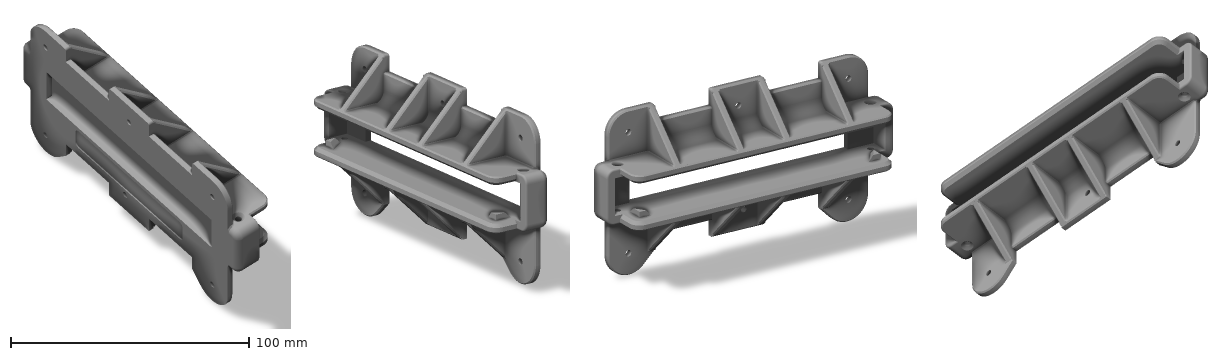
import cadquery as cq
import math

overall_width = 143.0
plate_width = 130.0
plate_thickness = 3.0
tab_top = 33.5
tab_corner_radius = 1.0
notch_level = 25.7
centre_tab_width = 26.3
outer_tab_inner_x = 41.6
corner_radius = 10.0
leg_radius = 10.6
leg_bottom = 41.5
edge_break = 0.6
rib_flare = 0.5

slot_width = 109.0
slot_height = 17.2

recess_width = 70.4
recess_top = -10.6
recess_bottom = -21.0
recess_depth = 0.6
recess_radius = 2.0

hole_diameter = 2.9
hole_pitch_x = 109.8
hole_pitch_z = 54.9
lower_centre_hole_x = -2.6
lower_centre_hole_z = -24.2

part_depth = 24.5
shelf_outer_z = 12.6
shelf_corner_radius = 5.0
shelf_lip_chamfer = 1.5

lug_depth = 12.3
lug_side_radius = 3.6
lug_front_radius = 3.0
lug_back_radius = 0.9
lug_hole_x = 63.0
lug_hole_y = 7.5
countersink_diameter = 5.5

rib_thickness = 3.3
bay_fillet_radius = 5.1

nub_outer_x = 59.9
nub_front_y = 11.9
nub_back_y = 19.6
nub_height = 2.7
nub_ramp_run = 1.7

half_plate = plate_width / 2
half_slot = slot_width / 2
shelf_inner_z = slot_height / 2
shelf_thickness = shelf_outer_z - shelf_inner_z
half_centre_tab = centre_tab_width / 2
corner_x = half_plate - corner_radius
upper_hole_z = tab_top - corner_radius
leg_centre_x = half_plate - leg_radius
leg_centre_z = leg_radius - leg_bottom
hole_x = hole_pitch_x / 2
lower_hole_z = upper_hole_z - hole_pitch_z


def mirrored_x(solid):
    """The solid together with its mirror image across X = 0."""
    return solid.union(solid.mirror("YZ"))


def mirrored_z(solid):
    """The solid together with its mirror image across Z = 0."""
    return solid.union(solid.mirror("XY"))


def box(x_min, x_max, y_min, y_max, z_min, z_max):
    return (
        cq.Workplane("XY", origin=(x_min, y_min, z_min))
        .box(x_max - x_min, y_max - y_min, z_max - z_min, centered=False)
    )


def front_sketch():
    """Workplane in global X and Z whose extrusions run toward +Y."""
    return cq.Workplane("XZ")


def lug_corner_edge(side, level):
    """Selector for the curved edge where a lug's front rounding meets the plate side."""
    tolerance = 0.01
    return cq.selectors.BoxSelector(
        (side * half_plate - tolerance, 0, level * shelf_inner_z),
        (side * half_plate + tolerance, plate_thickness - tolerance, level * (shelf_outer_z + tolerance)),
    )


def make_plate():
    diagonal = corner_radius * math.sqrt(0.5)
    leg_diagonal = leg_radius * math.sqrt(0.5)
    leg_bevel_x = leg_centre_x - leg_diagonal
    leg_bevel_z = leg_centre_z - leg_diagonal
    half = (
        front_sketch()
        .moveTo(0, tab_top)
        .lineTo(half_centre_tab, tab_top)
        .lineTo(half_centre_tab, notch_level)
        .lineTo(outer_tab_inner_x, notch_level)
        .lineTo(outer_tab_inner_x, tab_top)
        .lineTo(corner_x, tab_top)
        .threePointArc((corner_x + diagonal, upper_hole_z + diagonal), (half_plate, upper_hole_z))
        .lineTo(half_plate, leg_centre_z)
        .threePointArc((leg_centre_x, -leg_bottom), (leg_bevel_x, leg_bevel_z))
        .lineTo(outer_tab_inner_x, leg_bevel_z + leg_bevel_x - outer_tab_inner_x)
        .lineTo(outer_tab_inner_x, -notch_level)
        .lineTo(half_centre_tab, -notch_level)
        .lineTo(half_centre_tab, -tab_top)
        .lineTo(0, -tab_top)
        .close()
        .extrude(-plate_thickness)
    )
    plate = mirrored_x(half).clean()
    for x in (half_centre_tab, outer_tab_inner_x):
        for side in (-1, 1):
            corner = cq.selectors.NearestToPointSelector((side * x, plate_thickness / 2, tab_top))
            plate = plate.edges(corner).fillet(tab_corner_radius)
    return plate.faces(">Y").edges().chamfer(edge_break)


def make_shelf():
    shelf = (
        box(-half_plate, half_plate, 0, part_depth, shelf_inner_z, shelf_outer_z)
        .edges("|Z and >Y").fillet(shelf_corner_radius)
    )
    shelf = shelf.faces(">Z").edges("not(<Y)").chamfer(edge_break)
    return shelf.faces("<Z").edges("not(<Y)").chamfer(shelf_lip_chamfer)


def make_lugs():
    half = overall_width / 2
    return (
        box(-half, half, 0, lug_depth, -shelf_outer_z, shelf_outer_z)
        .edges("|Y").fillet(lug_side_radius)
        .faces("<Y").edges().fillet(lug_front_radius)
        .faces(">Y").edges().fillet(lug_back_radius)
    )


def rib_blank(x_min, x_max):
    """Triangular gusset above the upper shelf, spanning the given X range."""
    buried_z = shelf_inner_z + shelf_lip_chamfer
    return (
        cq.Workplane("YZ", origin=(x_min, 0, 0))
        .moveTo(plate_thickness - edge_break, buried_z)
        .lineTo(plate_thickness - edge_break, tab_top - edge_break)
        .lineTo(plate_thickness, tab_top - edge_break)
        .lineTo(part_depth, shelf_outer_z - edge_break)
        .lineTo(part_depth, buried_z)
        .close()
        .extrude(x_max - x_min)
    )


def make_rib(x_min):
    """Gusset with bevelled sloping edges and 45 degree flares where it meets shelf and plate."""
    x_max = x_min + rib_thickness
    sloped = cq.selectors.NearestToPointSelector(
        ((x_min + x_max) / 2, part_depth / 2, (tab_top + shelf_outer_z) / 2))
    rib = rib_blank(x_min, x_max).faces(sloped).edges("not(|X)").chamfer(edge_break)
    flare = [
        (x_min - rib_flare, 0),
        (x_min, rib_flare),
        (x_max, rib_flare),
        (x_max + rib_flare, 0),
    ]
    shelf_foot = (
        cq.Workplane("XZ", origin=(0, 0, shelf_outer_z))
        .polyline(flare).close().extrude(-part_depth)
    )
    plate_foot = (
        cq.Workplane("XY", origin=(0, plate_thickness, 0))
        .polyline(flare).close().extrude(tab_top)
    )
    envelope = rib_blank(x_min - rib_flare, x_max + rib_flare)
    inside_tab = box(0, half_centre_tab, 0, part_depth, 0, tab_top).union(
        box(outer_tab_inner_x, half_plate, 0, part_depth, 0, tab_top))
    feet = shelf_foot.intersect(envelope).union(plate_foot.intersect(envelope).intersect(inside_tab))
    return rib.union(feet)


def make_shelf_foot():
    """45 degree flare between shelf and plate, outside the outermost rib."""
    return (
        cq.Workplane("YZ", origin=(outer_tab_inner_x, 0, 0))
        .polyline([
            (plate_thickness, shelf_outer_z),
            (plate_thickness + rib_flare, shelf_outer_z),
            (plate_thickness, shelf_outer_z + rib_flare),
        ])
        .close()
        .extrude(half_plate - edge_break - outer_tab_inner_x)
    )


def make_bay_fillet():
    """Concave round between shelf and plate, running between the outermost ribs."""
    centre_y = plate_thickness + bay_fillet_radius
    centre_z = shelf_outer_z + bay_fillet_radius
    diagonal = bay_fillet_radius * math.sqrt(0.5)
    return (
        cq.Workplane("YZ", origin=(-outer_tab_inner_x, 0, 0))
        .moveTo(plate_thickness, shelf_outer_z)
        .lineTo(centre_y, shelf_outer_z)
        .threePointArc((centre_y - diagonal, centre_z - diagonal), (plate_thickness, centre_z))
        .close()
        .extrude(2 * outer_tab_inner_x)
    )


def make_nub():
    """Corner stop standing on the lower shelf, with a ramp across its diagonal side."""
    base_z = -shelf_inner_z
    run_x = half_slot - nub_outer_x
    run_y = nub_back_y - nub_front_y
    length = math.hypot(run_x, run_y)
    block = (
        cq.Workplane("XY", origin=(0, 0, base_z))
        .polyline([(nub_outer_x, nub_front_y), (nub_outer_x, nub_back_y), (half_slot, nub_back_y)])
        .close()
        .extrude(nub_height)
    )
    across_diagonal = cq.Plane(
        origin=(nub_outer_x, nub_front_y, base_z),
        xDir=(run_y, -run_x, 0),
        normal=(-run_x, -run_y, 0),
    )
    ramp = (
        cq.Workplane(across_diagonal)
        .polyline([(0, 0), (length, 0), (length, nub_height), (nub_ramp_run, nub_height)])
        .close()
        .extrude(-length)
    )
    return block.intersect(ramp)


def make_lug_hole(x):
    hole = (
        cq.Workplane("XY", origin=(x, lug_hole_y, -shelf_outer_z))
        .circle(hole_diameter / 2).extrude(2 * shelf_outer_z)
    )
    sink_depth = (countersink_diameter - hole_diameter) / 2
    sink = cq.Workplane("XY").add(
        cq.Solid.makeCone(
            hole_diameter / 2, countersink_diameter / 2, sink_depth,
            pnt=cq.Vector(x, lug_hole_y, shelf_outer_z - sink_depth),
        )
    )
    return hole.union(mirrored_z(sink))


cavity_half_width = overall_width / 2 - shelf_thickness
body = make_lugs().cut(
    box(-cavity_half_width, cavity_half_width, plate_thickness, part_depth, -shelf_inner_z, shelf_inner_z)
)

body = body.union(make_plate()).union(mirrored_z(make_shelf()))

for side in (-1, 1):
    for level in (-1, 1):
        body = body.edges(lug_corner_edge(side, level)).chamfer(edge_break)

for rib_x in (outer_tab_inner_x, half_centre_tab - rib_thickness):
    body = body.union(mirrored_x(mirrored_z(make_rib(rib_x))))
body = body.union(mirrored_x(mirrored_z(make_shelf_foot())))
body = body.union(mirrored_z(make_bay_fillet()))

body = body.union(mirrored_x(make_nub()))

body = body.cut(box(-half_slot, half_slot, 0, plate_thickness, -shelf_inner_z, shelf_inner_z))
recess = (
    box(-recess_width / 2, recess_width / 2, 0, recess_depth, recess_bottom, recess_top)
    .edges("|Y").fillet(recess_radius)
)
body = body.cut(recess)

plate_holes = [
    (-hole_x, upper_hole_z),
    (0, upper_hole_z),
    (hole_x, upper_hole_z),
    (-hole_x, lower_hole_z),
    (hole_x, lower_hole_z),
    (lower_centre_hole_x, lower_centre_hole_z),
]
body = body.cut(
    front_sketch().pushPoints(plate_holes).circle(hole_diameter / 2).extrude(-plate_thickness)
)
body = body.cut(mirrored_x(make_lug_hole(lug_hole_x)))

result = body